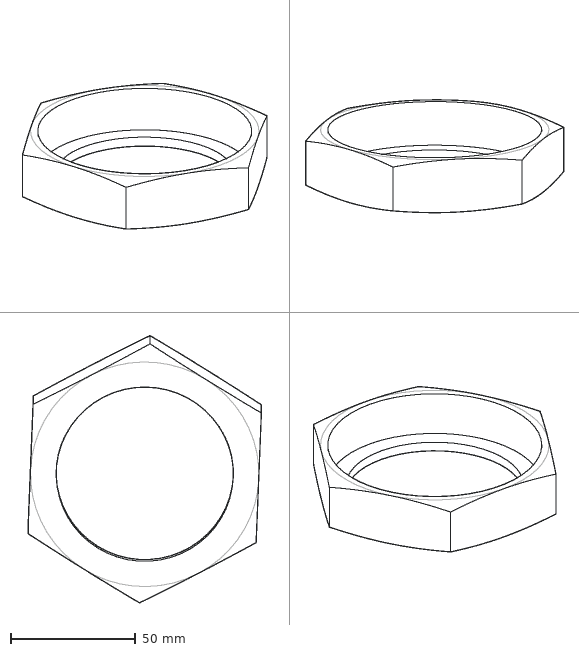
import cadquery as cq
import math

side_count = 6
across_flats = 92.1
height = 22.2
bore_diameter = 71.4
recess_diameter = 86.3
floor_thickness = 4.0
chamfer_angle = 15.0

half_side_angle = 180 / side_count
across_corners = across_flats / math.cos(math.radians(half_side_angle))
flat_radius = across_flats / 2
corner_radius = across_corners / 2
corner_drop = (corner_radius - flat_radius) * math.tan(math.radians(chamfer_angle))


def hexagonal_body():
    """Hexagonal prism standing on Z = 0, with corners on the Y axis."""
    return (
        cq.Workplane("XY")
        .transformed(rotate=(0, 0, 90))
        .polygon(side_count, across_corners)
        .extrude(height)
    )


def chamfer_envelope():
    """Turned body whose conical ends cut back the hexagon corners."""
    return (
        cq.Workplane("XZ")
        .moveTo(0, 0)
        .lineTo(flat_radius, 0)
        .lineTo(corner_radius, corner_drop)
        .lineTo(corner_radius, height - corner_drop)
        .lineTo(flat_radius, height)
        .lineTo(0, height)
        .close()
        .revolve(360, (0, 0, 0), (0, 1, 0))
    )


def round_cut(diameter, bottom, top):
    """Cylinder on the nut axis between two heights."""
    return cq.Workplane("XY").workplane(offset=bottom).circle(diameter / 2).extrude(top - bottom)


bore = round_cut(bore_diameter, 0, height)
recess = round_cut(recess_diameter, floor_thickness, height)

result = hexagonal_body().intersect(chamfer_envelope()).cut(bore).cut(recess)